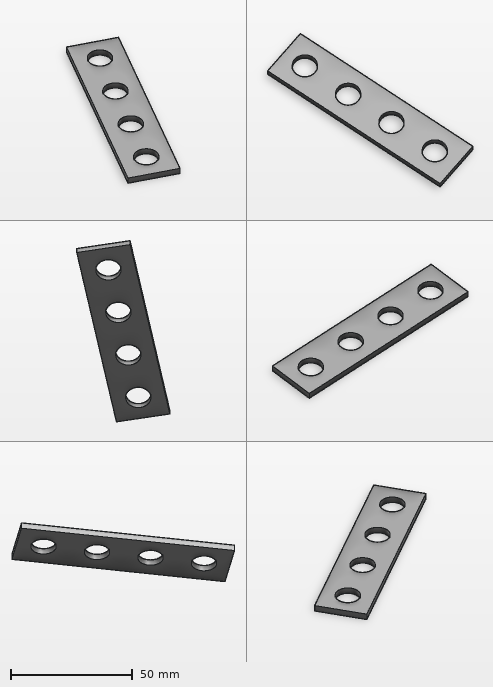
import cadquery as cq

length = 88.9
width = 22.3
thickness = 2.8

hole_diameter = 10.4
hole_count = 4
hole_pitch = width
first_hole_offset = 10.8

hole_centers = [
    (first_hole_offset + i * hole_pitch - length / 2, 0)
    for i in range(hole_count)
]

bar = cq.Workplane("XY").box(length, width, thickness)

result = (
    bar.faces(">Z")
    .workplane(origin=(0, 0, 0))
    .pushPoints(hole_centers)
    .hole(hole_diameter)
)